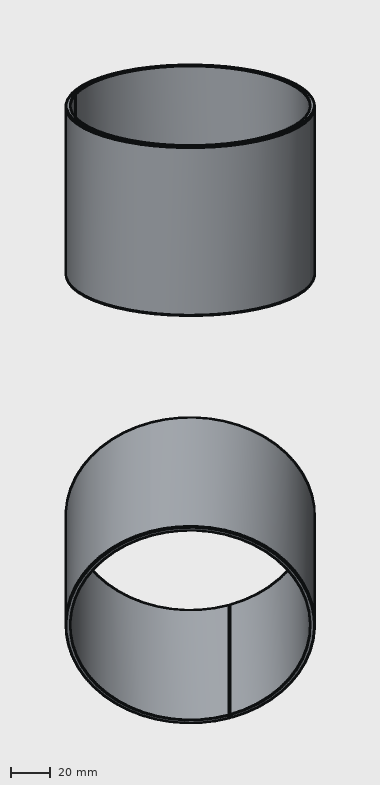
import cadquery as cq

outer_diameter = 125.0
wall = 2.5
height = 90.0
outer_chamfer_length = 0.8
outer_chamfer_depth = 0.44
inner_chamfer = 0.2
slit_width = 1.0

outer_radius = outer_diameter / 2
inner_radius = outer_radius - wall
outer_rim_radius = outer_radius - outer_chamfer_depth
inner_rim_radius = inner_radius + inner_chamfer

sleeve = (
    cq.Workplane("XZ")
    .moveTo(inner_rim_radius, 0)
    .lineTo(outer_rim_radius, 0)
    .lineTo(outer_radius, outer_chamfer_length)
    .lineTo(outer_radius, height - outer_chamfer_length)
    .lineTo(outer_rim_radius, height)
    .lineTo(inner_rim_radius, height)
    .lineTo(inner_radius, height - inner_chamfer)
    .lineTo(inner_radius, inner_chamfer)
    .close()
    .revolve(360, (0, 0, 0), (0, 1, 0))
)

slit = (
    cq.Workplane("XY")
    .center(-outer_radius, slit_width / 2)
    .rect(4 * wall, slit_width)
    .extrude(height)
)

result = sleeve.cut(slit)